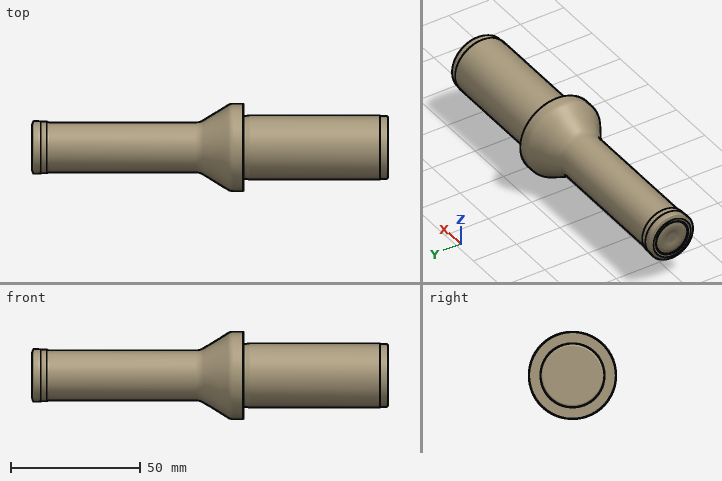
import cadquery as cq
import math


total_length = 138.0
shank_length = 56.0
flange_face_x = total_length - shank_length
head_end_x = 3.45

cutting_radius = 20.5 / 2
stem_radius = 19.5 / 2
flange_radius = 34.0 / 2
shank_radius = 25.0 / 2
relief_radius = 24.5 / 2

center_depth = 0.35
center_flat_radius = 1.3
inner_flank_depth = 0.3
inner_flank_radius = 2.3
inner_nose_depth = 0.09
inner_nose_radius = 3.4
inner_ring_start_radius = 4.4
inner_ring_end_radius = 5.3
inner_slope_depth = 0.06
inner_slope_radius = 5.75
valley_depth = 0.25
valley_start_radius = 6.6
valley_end_radius = 7.1
outer_nose_depth = 0.04
outer_nose_radius = 7.5
outer_ring_start_radius = 8.2
outer_ring_end_radius = 8.6
corner_depth = 0.5
corner_start_radius = 9.95
corner_end_x = 0.87

rim_taper_x = 2.5
rim_end_radius = 10.12

collar_front_radius = 10.1
collar_groove_x = 3.85
collar_groove_radius = 10.02
collar_radius = 10.1
collar_taper_end_x = 4.65
collar_end_x = 5.75
collar_step_radius = 9.9
collar_step_end_x = 6.1
stem_start_x = 6.75

cone_angle = math.radians(31.5)
cone_stem_fillet = 5.0
cone_flange_fillet = 3.5
flange_rim_length = 4.1
flange_chamfer = 0.3

front_relief_length = 0.9
front_taper_length = 1.4
rear_relief_length = 3.35
rear_step_length = 0.3
rear_step_radius = 12.3
rear_taper_length = 0.75
end_fillet = 0.95


def turned(profile):
    """Close a half profile drawn as (X, radius) and revolve it about the X axis."""
    return profile.close().revolve(360, (0, 0, 0), (1, 0, 0))


def make_cutting_head():
    profile = (
        cq.Workplane("XY")
        .moveTo(center_depth, 0)
        .lineTo(center_depth, center_flat_radius)
        .lineTo(inner_flank_depth, inner_flank_radius)
        .lineTo(inner_nose_depth, inner_nose_radius)
        .tangentArcPoint((0, inner_ring_start_radius), relative=False)
        .lineTo(0, inner_ring_end_radius)
        .lineTo(inner_slope_depth, inner_slope_radius)
        .lineTo(valley_depth, valley_start_radius)
        .lineTo(valley_depth, valley_end_radius)
        .lineTo(outer_nose_depth, outer_nose_radius)
        .lineTo(0, outer_ring_start_radius)
        .lineTo(0, outer_ring_end_radius)
        .lineTo(corner_depth, corner_start_radius)
        .tangentArcPoint((corner_end_x, cutting_radius), relative=False)
        .lineTo(rim_taper_x, cutting_radius)
        .lineTo(head_end_x, rim_end_radius)
        .lineTo(head_end_x, 0)
    )
    return turned(profile)


def make_holder():
    fillet_run = math.sin(cone_angle)
    fillet_rise = 1 - math.cos(cone_angle)
    flange_start_x = flange_face_x - flange_rim_length
    cone_end_x = flange_start_x - cone_flange_fillet * fillet_run
    cone_end_radius = flange_radius - cone_flange_fillet * fillet_rise
    cone_start_radius = stem_radius + cone_stem_fillet * fillet_rise
    cone_start_x = cone_end_x - (cone_end_radius - cone_start_radius) / math.tan(cone_angle)
    stem_end_x = cone_start_x - cone_stem_fillet * fillet_run

    shank_start_x = flange_face_x + front_relief_length + front_taper_length
    rear_relief_x = total_length - rear_relief_length

    profile = (
        cq.Workplane("XY")
        .moveTo(head_end_x, 0)
        .lineTo(head_end_x, collar_front_radius)
        .lineTo(collar_groove_x, collar_groove_radius)
        .lineTo(collar_taper_end_x, collar_radius)
        .lineTo(collar_end_x, collar_radius)
        .lineTo(collar_step_end_x, collar_step_radius)
        .lineTo(stem_start_x, stem_radius)
        .lineTo(stem_end_x, stem_radius)
        .tangentArcPoint((cone_start_x, cone_start_radius), relative=False)
        .lineTo(cone_end_x, cone_end_radius)
        .tangentArcPoint((flange_start_x, flange_radius), relative=False)
        .lineTo(flange_face_x - flange_chamfer, flange_radius)
        .lineTo(flange_face_x, flange_radius - flange_chamfer)
        .lineTo(flange_face_x, relief_radius)
        .lineTo(flange_face_x + front_relief_length, relief_radius)
        .lineTo(shank_start_x, shank_radius)
        .lineTo(rear_relief_x, shank_radius)
        .lineTo(rear_relief_x + rear_step_length, rear_step_radius)
        .lineTo(rear_relief_x + rear_taper_length, relief_radius)
        .lineTo(total_length - end_fillet, relief_radius)
        .tangentArcPoint((total_length, relief_radius - end_fillet), relative=False)
        .lineTo(total_length, 0)
    )
    return turned(profile)


cutting_head = make_cutting_head()
holder = make_holder()

result = cq.Compound.makeCompound([cutting_head.val(), holder.val()])